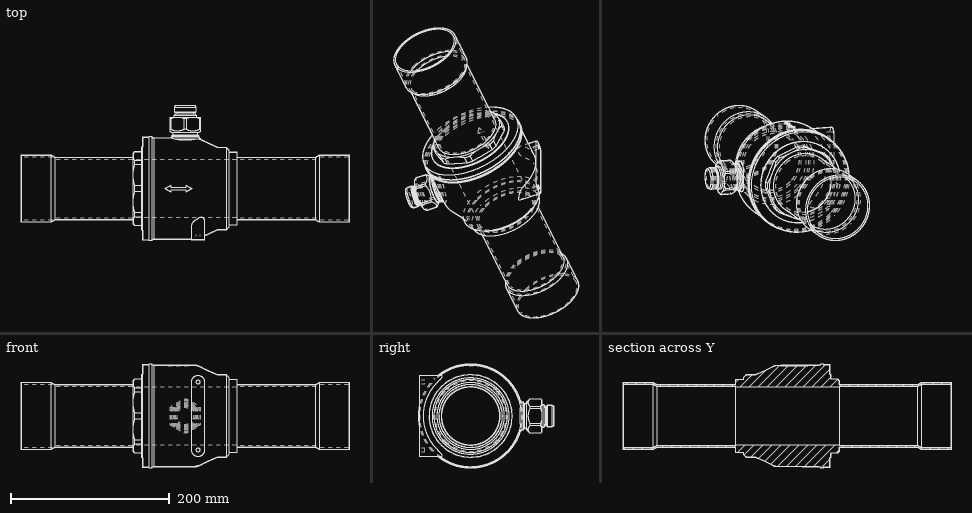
import cadquery as cq
import math

total_length = 413.0

pipe_dia = 79.0
pipe_bore_dia = 74.0
socket_dia = 84.5
socket_bore_dia = 79.7
socket_length = 37.5
socket_taper_length = 5.0
ball_bore_dia = 73.0

nut_start = 141.0
nut_sides = 8
nut_corner_dia = 93.5
nut_across_flats = 89.0
nut_chamfer = 2.0

shoulder_start = 151.5
shoulder_dia = 105.0
flange_start = 153.0
flange_dia = 129.5
ring_start = 160.5
ring_end = 164.5
ring_dia = 131.5
body_start = 167.0
body_dia = 128.0
cone_start = 221.5
cone_end = 247.0
cone_start_radius = 8.3
cone_end_radius = 5.0
neck_dia = 104.0
neck_end = 262.0
neck_chamfer = 3.7
collar_dia = 92.0
collar_end = 271.8

stem_x = 206.5
stem_end = 105.0
stem_cap_dia = 27.3
stem_cap_bottom = 96.0
stem_cap_top_chamfer_length = 2.5
stem_cap_bottom_chamfer_length = 1.0
stem_cap_chamfer_width = 1.2
stem_groove_dia = 21.0
stem_washer_dia = 28.5
stem_washer_top = 94.0
stem_washer_chamfer = 2.0
stem_hex_across_flats = 39.0
stem_hex_corner_dia = 43.5
stem_hex_top = 89.5
stem_hex_top_chamfer = 1.5
stem_hex_bottom = 70.5
stem_hex_bottom_chamfer = 4.0
stem_neck_dia = 31.5
stem_neck_bottom = 67.7
stem_foot_dia = 34.5
stem_foot_top = 66.5
stem_flare_top = 65.0
stem_flare_dia = 39.0
stem_flare_bottom = 62.5
stem_root = 49.5

pad_x = 222.5
pad_width = 16.5
pad_face = 64.5
pad_hole_spacing = 85.5
pad_hole_dia = 5.0
pad_hole_depth = 6.0
pad_root = 20.5

arrow_x = 198.0
arrow_length = 34.0
arrow_shaft_length = 19.0
arrow_head_width = 8.3
arrow_shaft_width = 3.0
arrow_depth = 1.0


def cylinder_x(diameter, start, end):
    """Cylinder on the flow axis between two stations."""
    return cq.Workplane("YZ", origin=(start, 0, 0)).circle(diameter / 2).extrude(end - start)


def turned_x(profile):
    """Solid of revolution about X from (station, radius) points."""
    start, end = profile[0][0], profile[-1][0]
    outline = [(start, 0)] + profile + [(end, 0)]
    return cq.Workplane("XY").polyline(outline).close().revolve(360, (0, 0, 0), (1, 0, 0))


def stepped_pipe(end_dia, middle_dia):
    """Round bar over the full length, wider at both ends."""
    end_radius = end_dia / 2
    middle_radius = middle_dia / 2
    taper_end = socket_length + socket_taper_length
    return turned_x([
        (0, end_radius),
        (socket_length, end_radius),
        (taper_end, middle_radius),
        (total_length - taper_end, middle_radius),
        (total_length - socket_length, end_radius),
        (total_length, end_radius),
    ])


def make_nut():
    """Octagon with corners on the Y and Z axes, rounded to a cylinder and chamfered in front."""
    sharp_dia = nut_across_flats / math.cos(math.pi / nut_sides)
    length = flange_start - nut_start
    octagon = cq.Workplane("YZ", origin=(nut_start, 0, 0)).polygon(nut_sides, sharp_dia).extrude(length)
    envelope = cylinder_x(nut_corner_dia, nut_start, flange_start).faces("<X").chamfer(nut_chamfer)
    return octagon.intersect(envelope)


def make_body():
    flange_radius = flange_dia / 2
    ring_radius = ring_dia / 2
    body_radius = body_dia / 2
    neck_radius = neck_dia / 2

    half_turn = math.atan2(body_radius - neck_radius, cone_end - cone_start) / 2
    sine, cosine = math.sin(2 * half_turn), math.cos(2 * half_turn)
    start_tangent = cone_start_radius * math.tan(half_turn)
    end_tangent = cone_end_radius * math.tan(half_turn)
    start_sagitta = cone_start_radius * (1 - math.cos(half_turn))
    end_sagitta = cone_end_radius * (1 - math.cos(half_turn))
    start_middle_x = cone_start - start_tangent + cone_start_radius * math.sin(half_turn)
    end_middle_x = cone_end + end_tangent - cone_end_radius * math.sin(half_turn)

    shell = (
        cq.Workplane("XY")
        .moveTo(flange_start, 0)
        .lineTo(flange_start, flange_radius)
        .lineTo(ring_start, flange_radius)
        .lineTo(ring_start, ring_radius)
        .lineTo(ring_end, ring_radius)
        .lineTo(ring_end, flange_radius)
        .lineTo(body_start, body_radius)
        .lineTo(cone_start - start_tangent, body_radius)
        .threePointArc(
            (start_middle_x, body_radius - start_sagitta),
            (cone_start + start_tangent * cosine, body_radius - start_tangent * sine),
        )
        .lineTo(cone_end - end_tangent * cosine, neck_radius + end_tangent * sine)
        .threePointArc(
            (end_middle_x, neck_radius + end_sagitta),
            (cone_end + end_tangent, neck_radius),
        )
        .lineTo(neck_end - neck_chamfer, neck_radius)
        .lineTo(neck_end, neck_radius - neck_chamfer)
        .lineTo(neck_end, 0)
        .close()
        .revolve(360, (0, 0, 0), (1, 0, 0))
    )
    shoulder = cylinder_x(shoulder_dia, shoulder_start, flange_start)
    collar = cylinder_x(collar_dia, neck_end, collar_end)
    return shell.union(shoulder).union(collar)


def turned_stem(profile):
    """Solid of revolution about the stem axis from (radius, height) points, closed on the axis."""
    bottom, top = profile[0][1], profile[-1][1]
    outline = [(0, bottom)] + profile + [(0, top)]
    return (
        cq.Workplane("XY", origin=(stem_x, 0, 0))
        .polyline(outline).close()
        .revolve(360, (0, 0, 0), (0, 1, 0))
    )


def stem_bar(diameter, bottom, top):
    """Cylinder on the stem axis between two heights along +Y."""
    plane = cq.Plane(origin=(stem_x, bottom, 0), xDir=(0, 0, 1), normal=(0, 1, 0))
    return cq.Workplane(plane).circle(diameter / 2).extrude(top - bottom)


def make_stem_hex():
    """Hexagon with rounded corners on Z and both ends chamfered to cones."""
    sharp_dia = stem_hex_across_flats / math.cos(math.pi / 6)
    height = stem_hex_top - stem_hex_bottom
    plane = cq.Plane(origin=(stem_x, stem_hex_bottom, 0), xDir=(0, 0, 1), normal=(0, 1, 0))
    hexagon = cq.Workplane(plane).polygon(6, sharp_dia).extrude(height)
    envelope = (
        stem_bar(stem_hex_corner_dia, stem_hex_bottom, stem_hex_top)
        .faces(">Y").chamfer(stem_hex_top_chamfer)
        .faces("<Y").chamfer(stem_hex_bottom_chamfer)
    )
    return hexagon.intersect(envelope)


def make_stem():
    cap_radius = stem_cap_dia / 2
    cap = turned_stem([
        (cap_radius - stem_cap_chamfer_width, stem_cap_bottom),
        (cap_radius, stem_cap_bottom + stem_cap_bottom_chamfer_length),
        (cap_radius, stem_end - stem_cap_top_chamfer_length),
        (cap_radius - stem_cap_chamfer_width, stem_end),
    ])
    groove = stem_bar(stem_groove_dia, stem_washer_top, stem_cap_bottom)
    washer = stem_bar(stem_washer_dia, stem_hex_top, stem_washer_top).faces(">Y").chamfer(stem_washer_chamfer)
    neck = stem_bar(stem_neck_dia, stem_neck_bottom, stem_hex_bottom)
    foot = turned_stem([
        (stem_flare_dia / 2, stem_root),
        (stem_flare_dia / 2, stem_flare_bottom),
        (stem_foot_dia / 2, stem_flare_top),
        (stem_foot_dia / 2, stem_foot_top),
        (stem_neck_dia / 2, stem_neck_bottom),
    ])
    return foot.union(neck).union(make_stem_hex()).union(washer).union(groove).union(cap)


def make_pad():
    """Upright round-ended bar reaching from the body out to the flat mounting face."""
    return (
        cq.Workplane("XZ", origin=(pad_x, -pad_root, 0))
        .slot2D(pad_hole_spacing + pad_width, pad_width, 90)
        .extrude(pad_face - pad_root)
    )


def make_pad_holes():
    half_spacing = pad_hole_spacing / 2
    return (
        cq.Workplane("XZ", origin=(pad_x, -pad_face, 0))
        .pushPoints([(0, half_spacing), (0, -half_spacing)])
        .circle(pad_hole_dia / 2)
        .extrude(-pad_hole_depth)
    )


def make_arrow():
    """Arrow-shaped cutter that follows the round body at constant depth."""
    tip = arrow_length / 2
    head_base = arrow_shaft_length / 2
    head = arrow_head_width / 2
    shaft = arrow_shaft_width / 2
    outline = [
        (-tip, 0), (-head_base, head), (-head_base, shaft), (head_base, shaft), (head_base, head),
        (tip, 0), (head_base, -head), (head_base, -shaft), (-head_base, -shaft), (-head_base, -head),
    ]
    prism = cq.Workplane("XY", origin=(arrow_x, 0, 0)).polyline(outline).close().extrude(body_dia)
    core = cylinder_x(body_dia - 2 * arrow_depth, body_start, cone_start)
    return prism.cut(core)


def make_bore():
    """Through bore: wide sockets, pipe bores, and a slightly narrower ball bore inside the body."""
    pipe_bores = stepped_pipe(socket_bore_dia, pipe_bore_dia)
    body_section = cylinder_x(socket_dia, nut_start, collar_end)
    ball_bore = cylinder_x(ball_bore_dia, nut_start, collar_end)
    return pipe_bores.cut(body_section).union(ball_bore)


result = (
    stepped_pipe(socket_dia, pipe_dia)
    .union(make_body())
    .union(make_nut())
    .union(make_stem())
    .union(make_pad())
    .cut(make_pad_holes())
    .cut(make_arrow())
    .cut(make_bore())
)